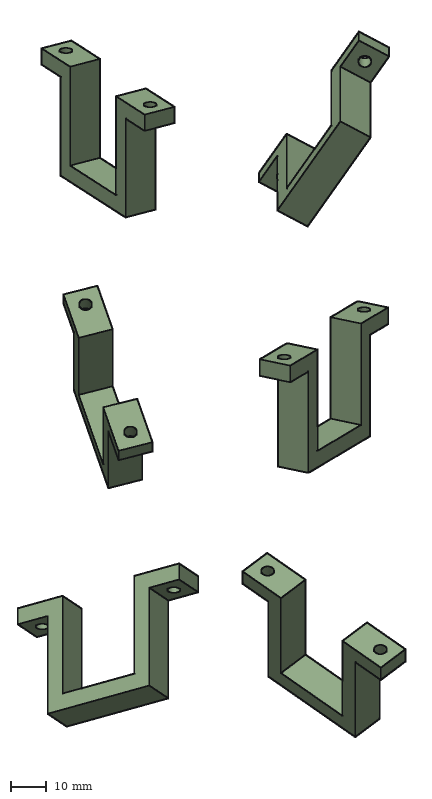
import cadquery as cq

length = 54.0
depth = 10.0
height = 35.5

thickness = 5.0
channel_width = 34.0
inner_width = channel_width - 2 * thickness

hole_diameter = 3.6
hole_spacing = 44.0


def centered_block(width, block_height, bottom):
    """Full-depth block centred on X and Y, standing on the given Z level."""
    return (
        cq.Workplane("XY")
        .workplane(offset=bottom)
        .box(width, depth, block_height, centered=(True, True, False))
    )


flange_bar = centered_block(length, thickness, height - thickness)
channel_body = centered_block(channel_width, height, 0)
opening = centered_block(inner_width, height - thickness, thickness)
bracket = channel_body.union(flange_bar).cut(opening)

mounting_holes = (
    cq.Workplane("XY")
    .pushPoints([(-hole_spacing / 2, 0), (hole_spacing / 2, 0)])
    .circle(hole_diameter / 2)
    .extrude(height)
)

result = bracket.cut(mounting_holes)